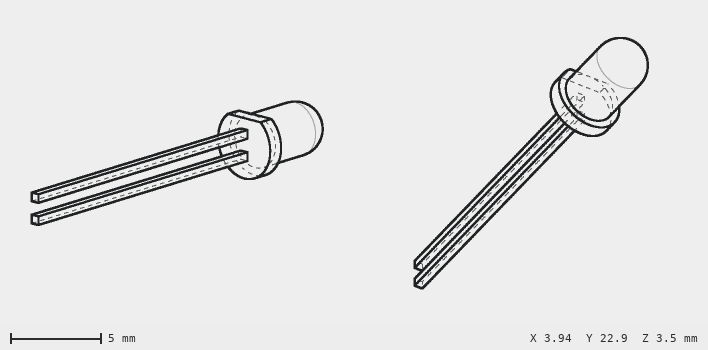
import cadquery as cq

total_length = 22.85
flange_radius = 1.97
flange_height = 3.5
flange_thickness = 0.9
lens_radius = flange_height - flange_radius
lead_width = 0.5
lead_pitch = 1.28
lead_length = 17.15
lens_tip = total_length - lead_length


def make_flange():
    """Disc with a flat on its +Z side."""
    disc = cq.Workplane("XZ").circle(flange_radius).extrude(-flange_thickness)
    flat_height = flange_height - flange_radius
    keep = cq.Workplane("XY").box(
        2 * flange_radius, flange_thickness, flange_height, centered=(True, False, False)
    ).translate((0, 0, flat_height - flange_height))
    return disc.intersect(keep)


def make_lens():
    """Cylinder closed by a hemisphere, revolved about Y."""
    dome_start = lens_tip - lens_radius
    dome_mid = lens_radius * 0.5 ** 0.5
    return (
        cq.Workplane("XY")
        .lineTo(lens_radius, 0)
        .lineTo(lens_radius, dome_start)
        .threePointArc((dome_mid, dome_start + dome_mid), (0, lens_tip))
        .close()
        .revolve(360, (0, 0), (0, 1))
    )


def make_lead(height):
    """Square lead centred at the given Z."""
    return cq.Workplane("XZ").center(0, height).rect(lead_width, lead_width).extrude(lead_length)


result = make_flange().union(make_lens())
for side in (-1, 1):
    result = result.union(make_lead(side * lead_pitch / 2))